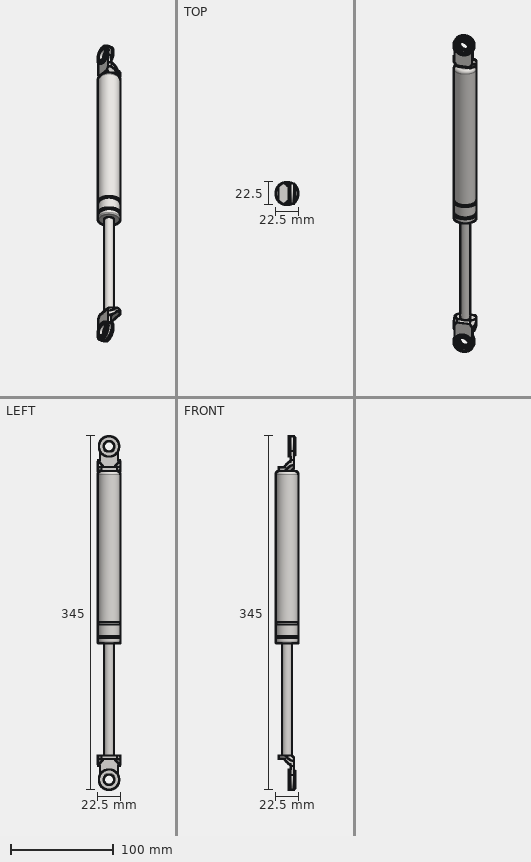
import cadquery as cq

length = 345.0
tube_diameter = 22.5
tube_radius = tube_diameter / 2

tube_top = 311.2
tube_bottom = 143.0
top_rounding = 3.8
bottom_rounding = 1.5
groove_width = 2.0
groove_depth = 0.52
groove_heights = (162.5, 149.0)
rod_diameter = 10.0
rod_radius = rod_diameter / 2

sheet = 3.5
base_left = -8.3
eye_left = 3.5
eye_right = eye_left + sheet
eye_radius = 10.0
eye_height = length - eye_radius
neck_half_width = 9.0
base_top = tube_top + sheet
neck_bottom = 321.5
bend_chamfer = 2.5
corner_inner_leg = 7.0
corner_outer_leg = 9.0
corner_depth = 6.2

front_flange_thickness = 2.25
back_flange_thickness = 1.2
bushing_left = eye_left - front_flange_thickness
bushing_right = eye_right + back_flange_thickness
back_flange_radius = 9.0
back_flange_chamfer = 0.7
hub_radius = 7.5
bore_diameter = 10.0
bore_radius = bore_diameter / 2
back_bore_radius = 6.0


def make_tube():
    """Cylinder with rounded ends and two shallow rolled grooves."""
    tube = (
        cq.Workplane("XY")
        .workplane(offset=tube_bottom)
        .circle(tube_radius)
        .extrude(tube_top - tube_bottom)
    )
    tube = tube.faces(">Z").edges().fillet(top_rounding)
    tube = tube.faces("<Z").edges().fillet(bottom_rounding)
    for height in groove_heights:
        groove = (
            cq.Workplane("XZ")
            .moveTo(tube_radius, height - groove_width / 2)
            .threePointArc((tube_radius - groove_depth, height), (tube_radius, height + groove_width / 2))
            .close()
            .revolve(360, (0, 0, 0), (0, 1, 0))
        )
        tube = tube.cut(groove)
    return tube


def make_rod():
    """Plain rod from the lower bracket base to the end of the tube."""
    rod_bottom = length - tube_top
    return cq.Workplane("XY").workplane(offset=rod_bottom).circle(rod_radius).extrude(tube_bottom - rod_bottom)


def eye_disc(radius, left, right):
    """Disc on the axis of the upper eye, between two X positions."""
    return cq.Workplane("YZ").workplane(offset=left).center(0, eye_height).circle(radius).extrude(right - left)


def corner_wedge(x, z, leg, side):
    """Three-sided corner piece with one slanting face, at the +Y or -Y edge of the bend."""
    edge = side * tube_radius
    corner = cq.Vector(x, edge, z)
    along_base = cq.Vector(x - leg, edge, z)
    up_strip = cq.Vector(x, edge, z + leg)
    across = cq.Vector(x, edge - side * corner_depth, z)
    triangles = [
        (corner, along_base, up_strip),
        (corner, along_base, across),
        (corner, up_strip, across),
        (along_base, up_strip, across),
    ]
    faces = [cq.Face.makeFromWires(cq.Wire.makePolygon(points, close=True)) for points in triangles]
    return cq.Workplane(cq.Solid.makeSolid(cq.Shell.makeShell(faces)).fix())


def make_bracket():
    """Upper bracket: base, square bend with pressed corners, upright neck and round eye."""
    profile = [
        (base_left, tube_top),
        (eye_right - bend_chamfer, tube_top),
        (eye_right, tube_top + bend_chamfer),
        (eye_right, eye_height),
        (eye_left, eye_height),
        (eye_left, base_top),
        (base_left, base_top),
    ]
    bracket = cq.Workplane("XZ").polyline(profile).close().extrude(tube_radius, both=True)
    for side in (-1, 1):
        bracket = bracket.union(corner_wedge(eye_left, base_top, corner_inner_leg, side))
        bracket = bracket.cut(corner_wedge(eye_right, tube_top, corner_outer_leg, side))
    round_base = (
        cq.Workplane("XY")
        .workplane(offset=tube_top)
        .circle(tube_radius)
        .extrude(neck_bottom - tube_top)
    )
    neck = (
        cq.Workplane("XY")
        .workplane(offset=neck_bottom)
        .rect(2 * tube_radius, 2 * neck_half_width)
        .extrude(eye_height - neck_bottom)
    )
    bracket = bracket.intersect(round_base.union(neck))
    bracket = bracket.union(eye_disc(eye_radius, eye_left, eye_right))
    return bracket.cut(eye_disc(hub_radius, eye_left, eye_right))


def make_bushing():
    """Upper bushing: hub through the eye, two flanges, and a bore wider behind the front flange."""
    hub = eye_disc(hub_radius, eye_left, eye_right)
    front_flange = eye_disc(eye_radius, bushing_left, eye_left)
    back_flange = eye_disc(back_flange_radius, eye_right, bushing_right)
    back_flange = back_flange.faces(">X").edges().chamfer(back_flange_chamfer)
    bushing = hub.union(front_flange).union(back_flange)
    bushing = bushing.cut(eye_disc(bore_radius, bushing_left, eye_left))
    return bushing.cut(eye_disc(back_bore_radius, eye_left, bushing_right))


def mirrored_pair(body):
    """The upper body and its mirror image at the lower end."""
    return [body.solids().val(), body.mirror("XY", (0, 0, length / 2)).solids().val()]


tube = make_tube()
rod = make_rod()
end_bodies = []
for make_body in (make_bracket, make_bushing):
    end_bodies.extend(mirrored_pair(make_body()))

result = cq.Compound.makeCompound([tube.solids().val(), rod.solids().val(), *end_bodies])